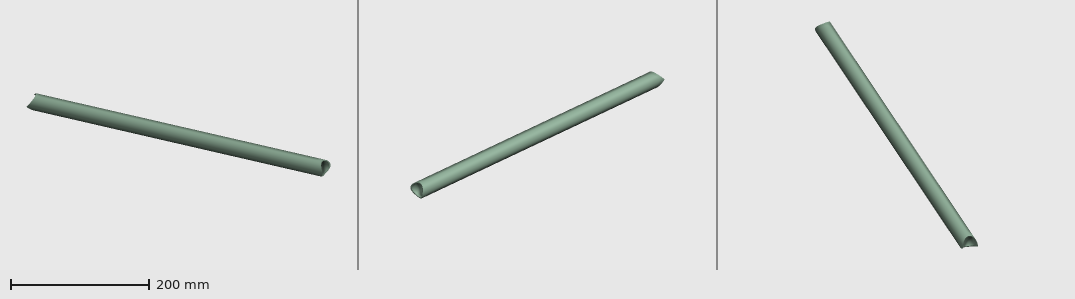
import cadquery as cq

tube_diameter = 25.0
wall_thickness = 1.5

run_x = 485.91
run_y = 28.19
run_z = 58.80

start_mate_diameter = tube_diameter
start_mate_lean = 12.0
start_mate_pitch = 8.0
end_mate_diameter = 33.0
end_mate_lean = -5.0
end_mate_pitch = 0.0

tube_radius = tube_diameter / 2
bore_radius = tube_radius - wall_thickness
mate_half_length = 2 * tube_diameter

run = cq.Vector(run_x, run_y, run_z)
direction = run.normalized()
sideways = run.cross(cq.Vector(0, 0, 1)).normalized()
upright = sideways.cross(direction)
start_tips = cq.Vector(0, 0, 0)
end_tips = start_tips + run


def plain_tube():
    """Straight tube with square ends at the ear tips."""
    base = cq.Plane(start_tips, xDir=sideways, normal=direction)
    return cq.Workplane(base).circle(tube_radius).circle(bore_radius).extrude(run.Length)


def mating_tube(axis_point, diameter, lean, pitch):
    """Solid cylinder centred on a point of the tube axis."""
    square_plane = cq.Plane(axis_point, xDir=direction, normal=upright)
    plane = square_plane.rotated((lean, -pitch, 0))
    return cq.Workplane(plane).circle(diameter / 2).extrude(mate_half_length, both=True)


def ear_offset(mate_diameter):
    """Distance along the tube from the mating axis to the ear tips."""
    mate_radius = mate_diameter / 2
    return (mate_radius**2 - tube_radius**2) ** 0.5


start_mate = mating_tube(
    start_tips - direction * ear_offset(start_mate_diameter),
    start_mate_diameter,
    start_mate_lean,
    start_mate_pitch,
)
end_mate = mating_tube(
    end_tips + direction * ear_offset(end_mate_diameter),
    end_mate_diameter,
    end_mate_lean,
    end_mate_pitch,
)

result = plain_tube().cut(start_mate).cut(end_mate)